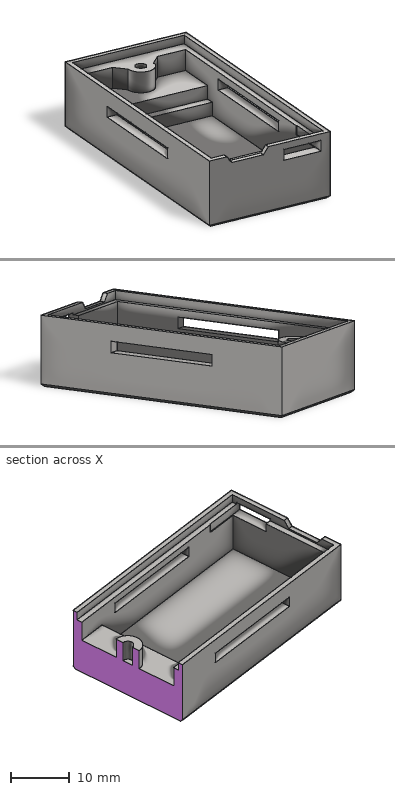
import cadquery as cq

length = 48.0
width = 24.0
height = 12.5
bottom_chamfer = 0.5

rim_wall = 0.9
lid_depth = 1.6
ledge_z = height - lid_depth

cavity_left = -20.9
cavity_right = 22.0
cavity_width = 20.05
floor_z = 1.95

shelf_right = -13.55
shelf_z = 7.0
step_right = -12.0
step_z = (floor_z + shelf_z) / 2

boss_x = -18.95
boss_radius = 2.55
boss_flare = boss_x - cavity_left
screw_hole_diameter = 2.0

slot_length = 20.05
slot_height = 2.0
slot_z = 8.55

pocket_left = 15.95
pocket_front = 2.85
pocket_back = 10.2
pocket_floor_z = 9.2
pocket_height = 2.0

notch_top_front = -8.5
notch_top_back = -0.3
notch_taper = 1.0
notch_depth = 1.3


def block(x_range, y_range, z_range):
    """Box spanning the given (low, high) ranges."""
    sizes = [high - low for low, high in (x_range, y_range, z_range)]
    corner = (x_range[0], y_range[0], z_range[0])
    return cq.Workplane("XY").box(*sizes, centered=False).translate(corner)


def centred(size):
    """Range of the given size, centred on zero."""
    return (-size / 2, size / 2)


def screw_boss():
    """Round boss that flares at 45 degrees into the cavity end wall."""
    root_half_width = boss_radius + boss_flare
    return (
        cq.Workplane("XY", origin=(0, 0, shelf_z))
        .moveTo(cavity_left, -root_half_width)
        .lineTo(boss_x, -boss_radius)
        .threePointArc((boss_x + boss_radius, 0), (boss_x, boss_radius))
        .lineTo(cavity_left, root_half_width)
        .close()
        .extrude(ledge_z - shelf_z)
    )


def cavity():
    """Stepped cavity with the boss left standing in it."""
    across = centred(cavity_width)
    main = block((step_right, cavity_right), across, (floor_z, height))
    step = block((shelf_right, step_right), across, (step_z, height))
    shelf = block((cavity_left, shelf_right), across, (shelf_z, height))
    return main.union(step).union(shelf).cut(screw_boss())


def rim_notch():
    """Notch through the +X rim, narrowing towards its bottom."""
    notch_z = height - notch_depth
    return (
        cq.Workplane("YZ", origin=(length / 2 - rim_wall, 0, 0))
        .moveTo(notch_top_front, height)
        .lineTo(notch_top_front + notch_taper, notch_z)
        .lineTo(notch_top_back - notch_taper, notch_z)
        .lineTo(notch_top_back, height)
        .close()
        .extrude(rim_wall)
    )


case = block(centred(length), centred(width), (0, height))
case = case.faces("<Z").edges().chamfer(bottom_chamfer)

lid_recess = block(
    centred(length - 2 * rim_wall), centred(width - 2 * rim_wall), (ledge_z, height)
)
screw_hole = (
    cq.Workplane("XY", origin=(boss_x, 0, shelf_z))
    .circle(screw_hole_diameter / 2)
    .extrude(ledge_z - shelf_z)
)
side_slots = cq.Workplane("XY").box(slot_length, width, slot_height).translate((0, 0, slot_z))
connector_pocket = block(
    (pocket_left, length / 2),
    (pocket_front, pocket_back),
    (pocket_floor_z, pocket_floor_z + pocket_height),
)

result = case.cut(cavity())
for opening in (lid_recess, screw_hole, side_slots, connector_pocket, rim_notch()):
    result = result.cut(opening)